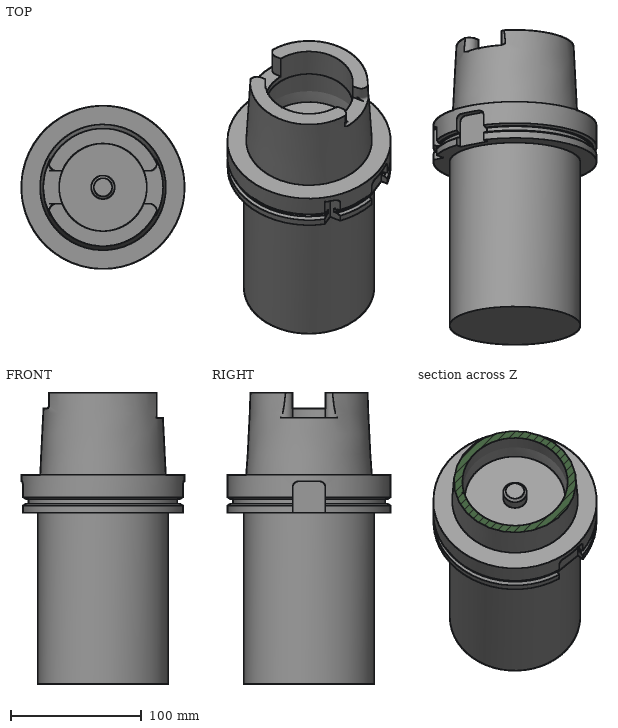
import cadquery as cq
import math


shank_diameter = 100.0
shank_bottom_z = -160.0

flange_radius = 124.92 / 2
flange_bottom_z = -29.0
groove_floor_radius = 58.3
groove_center_z = -20.3
groove_floor_height = 3.6
groove_chamfer_depth = 2.4
groove_chamfer_height = 1.4

taper_height = 62.9
taper_base_diameter = 96.25
taper_ratio = 1 / 9.98
taper_top_diameter = taper_base_diameter - taper_height * taper_ratio

mouth_diameter = 67.06
mouth_depth = 24.5
cavity_diameter = 80.09
cavity_floor_z = 3.0
cavity_cone_height = 10.0
cavity_cone_angle = 10.0

pin_diameter = 18.0
pin_tip_diameter = 14.0
pin_height = 10.0

slot_width = 25.0
left_slot_depth = 12.0
right_slot_depth = 19.4
tongue_reach_x = 41.3
tongue_end_radius = 6.1
left_slot_foot_radius = 2.0

keyway_width = 25.0
keyway_top_z = -5.0
keyway_corner_radius = 4.5
keyway_floor_x = 56.0
notch_offset = 39.5

clearance = 5.0


def make_revolved_body():
    """Shank, grooved flange and taper as one turned profile."""
    shank_radius = shank_diameter / 2
    floor_top_z = groove_center_z + groove_floor_height / 2
    floor_bottom_z = groove_center_z - groove_floor_height / 2
    chamfer_radius = flange_radius - groove_chamfer_depth
    profile = [
        (0, shank_bottom_z),
        (shank_radius, shank_bottom_z),
        (shank_radius, flange_bottom_z),
        (flange_radius, flange_bottom_z),
        (flange_radius, floor_bottom_z - groove_chamfer_height),
        (chamfer_radius, floor_bottom_z),
        (groove_floor_radius, floor_bottom_z),
        (groove_floor_radius, floor_top_z),
        (chamfer_radius, floor_top_z),
        (flange_radius, floor_top_z + groove_chamfer_height),
        (flange_radius, 0),
        (taper_base_diameter / 2, 0),
        (taper_top_diameter / 2, taper_height),
        (0, taper_height),
    ]
    return cq.Workplane("XZ").polyline(profile).close().revolve(360, (0, 0), (0, 1))


def make_bore():
    """Bore mouth and the wider cavity with a tapered bottom, around a chamfered centre pin."""
    mouth_bottom_z = taper_height - mouth_depth
    pin_top_z = cavity_floor_z + pin_height
    pin_chamfer = (pin_diameter - pin_tip_diameter) / 2
    cone_inset = cavity_cone_height * math.tan(math.radians(cavity_cone_angle))
    profile = [
        (0, pin_top_z),
        (pin_tip_diameter / 2, pin_top_z),
        (pin_diameter / 2, pin_top_z - pin_chamfer),
        (pin_diameter / 2, cavity_floor_z),
        (cavity_diameter / 2 - cone_inset, cavity_floor_z),
        (cavity_diameter / 2, cavity_floor_z + cavity_cone_height),
        (cavity_diameter / 2, mouth_bottom_z),
        (mouth_diameter / 2, mouth_bottom_z),
        (mouth_diameter / 2, taper_height),
        (0, taper_height),
    ]
    return cq.Workplane("XZ").polyline(profile).close().revolve(360, (0, 0), (0, 1))


def make_drive_slot(depth, foot_radius=0):
    """Slot on the +X side that flares around the rounded ends of the tongues."""
    half_width = slot_width / 2
    outer_radius = taper_base_diameter / 2 + clearance
    slot_bottom_z = taper_height - depth
    slot_bottom = cq.Workplane("XY", origin=(0, 0, slot_bottom_z))

    center_x = tongue_reach_x - tongue_end_radius
    center_y = half_width + tongue_end_radius
    arc_end_angle = math.atan2(center_y, center_x)
    arc_mid_angle = (arc_end_angle - math.pi / 2) / 2

    def tongue_point(angle, radius=tongue_end_radius):
        return (center_x + radius * math.cos(angle), center_y + radius * math.sin(angle))

    slot = slot_bottom.center(outer_radius / 2, 0).rect(outer_radius, slot_width).extrude(depth)
    flare = (
        slot_bottom.moveTo(center_x, 0)
        .lineTo(center_x, half_width)
        .threePointArc(tongue_point(arc_mid_angle), tongue_point(arc_end_angle))
        .lineTo(*tongue_point(arc_end_angle, tongue_end_radius + clearance))
        .lineTo(outer_radius, half_width)
        .lineTo(outer_radius, 0)
        .close()
        .extrude(depth)
    )
    if foot_radius > 0:
        flare = flare.edges("<Z").edges("%CIRCLE").fillet(foot_radius)
    return slot.union(flare).union(flare.mirror("XZ"))


def make_keyway():
    """Keyway on the +X side of the flange, open at the flange underside."""
    height = keyway_top_z - flange_bottom_z
    length = flange_radius + clearance - keyway_floor_x
    return (
        cq.Workplane("XY", origin=(keyway_floor_x + length / 2, 0, flange_bottom_z))
        .rect(length, keyway_width)
        .extrude(height)
        .edges(">Z and |X")
        .fillet(keyway_corner_radius)
    )


def make_orientation_notch():
    """Corner-shaped notch in the flange rim between -X and +Y."""
    height = keyway_top_z - flange_bottom_z
    size = flange_radius - notch_offset
    return (
        cq.Workplane("XY", origin=(-notch_offset, notch_offset, flange_bottom_z))
        .rect(-size, size, centered=False)
        .extrude(height)
        .edges("<Y and >Z")
        .fillet(keyway_corner_radius)
    )


body = make_revolved_body().cut(make_bore())
body = body.cut(make_drive_slot(right_slot_depth))
body = body.cut(make_drive_slot(left_slot_depth, left_slot_foot_radius).mirror("YZ"))

keyway = make_keyway()
flange_cuts = keyway.union(keyway.mirror("YZ")).union(make_orientation_notch())
result = body.cut(flange_cuts)